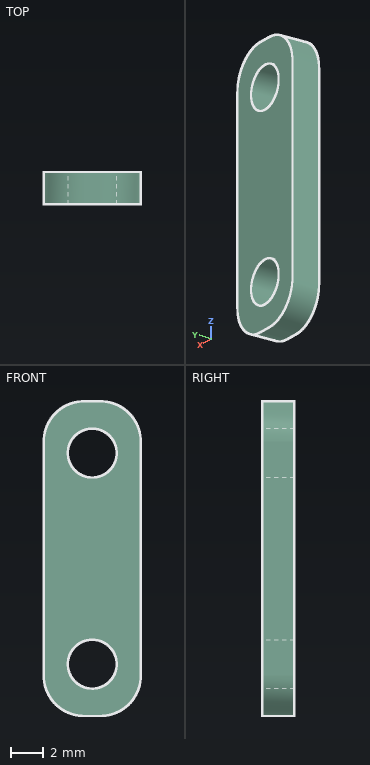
import cadquery as cq

width = 6.0
thickness = 2.0
height = 19.4
corner_radius = 2.5
hole_diameter = 3.0
hole_spacing = 13.0


def link_plate():
    """Flat plate with its four corners rounded, centred on the origin."""
    plate = cq.Workplane("XY").box(width, thickness, height)
    return plate.edges("|Y").fillet(corner_radius)


def drill_holes(plate):
    """Two through holes along Y, placed evenly about the plate centre."""
    hole_centres = [(0, side * hole_spacing / 2) for side in (-1, 1)]
    return plate.faces("<Y").workplane().pushPoints(hole_centres).hole(hole_diameter)


result = drill_holes(link_plate())